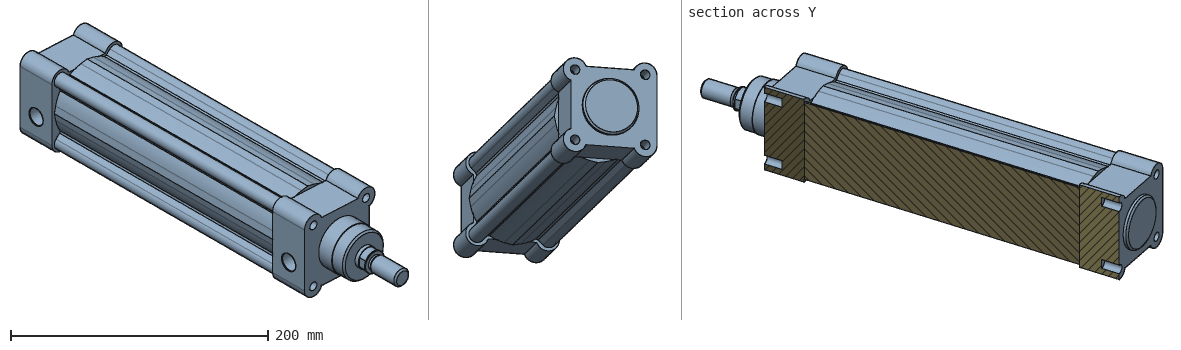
import cadquery as cq
import math


overall_length = 395.5
rear_boss_length = 4.0
cap_length = 36.0
barrel_length = 248.7
front_boss_length = 14.5
collar_length = 13.0

rear_cap_x = rear_boss_length
barrel_x = rear_cap_x + cap_length
front_cap_x = barrel_x + barrel_length
front_boss_x = front_cap_x + cap_length
collar_x = front_boss_x + front_boss_length
rod_x = collar_x + collar_length

cap_width = 75.5
tie_hole_spacing = 56.5
tie_hole_diameter = 7.5
tie_hole_depth = 16.0
plain_side_offset = 31.5
port_diameter = 15.0
port_mouth_diameter = 16.0
port_chamfer_depth = 0.8
port_depth = 12.0
port_z = -10.3
boss_radius = 22.5
rear_boss_chamfer = 1.5
collar_step = 0.6
collar_chamfer = 1.5

port_face_offset = cap_width / 2
tie_hole_offset = tie_hole_spacing / 2
lug_radius = port_face_offset - tie_hole_offset
collar_radius = boss_radius - collar_step

column_offset = 29.0
column_radius = 6.5
side_radius = 34.5
ridge_half_width = 6.7
arc_half_width = 18.5
ledge_half_width = 20.5

rod_radius = 10.0
rod_shoulder_length = 12.0
flats_width = 17.0
flats_start = 3.5
flats_length = 7.0
relief_radius = 9.5
undercut_radius = 6.7
undercut_length = 2.0
thread_radius = 8.0
thread_chamfer = 1.5


def cylinder_along_x(x, radius, length):
    return cq.Workplane("YZ", origin=(x, 0, 0)).circle(radius).extrude(length)


def block_along_x(x, length, y_min, y_max, half_height):
    return (
        cq.Workplane("YZ", origin=(x, 0, 0))
        .center((y_min + y_max) / 2, 0)
        .rect(y_max - y_min, 2 * half_height)
        .extrude(length)
    )


def tie_points(x):
    return (
        cq.Workplane("YZ", origin=(x, 0, 0))
        .rect(tie_hole_spacing, tie_hole_spacing, forConstruction=True)
        .vertices()
    )


def port_cutter(x):
    """Blind hole from the -Y face with a chamfered mouth."""
    mouth = cq.Workplane("XZ", origin=(x, -port_face_offset, port_z))
    hole = mouth.circle(port_diameter / 2).extrude(-port_depth)
    chamfer = (
        mouth.circle(port_mouth_diameter / 2)
        .workplane(offset=-port_chamfer_depth)
        .circle(port_diameter / 2)
        .loft()
    )
    return hole.union(chamfer)


def make_cap_block(x, tie_hole_x):
    """Cap body with round corner lugs, a port in its -Y face and tie holes from tie_hole_x on."""
    core = block_along_x(x, cap_length, -tie_hole_offset, plain_side_offset, plain_side_offset)
    port_side = block_along_x(x, cap_length, -port_face_offset, -tie_hole_offset, tie_hole_offset)
    lugs = tie_points(x).circle(lug_radius).extrude(cap_length)
    tie_holes = tie_points(tie_hole_x).circle(tie_hole_diameter / 2).extrude(tie_hole_depth)
    return core.union(port_side).union(lugs).cut(tie_holes).cut(port_cutter(x + cap_length / 2))


def make_rear_cap():
    boss = cylinder_along_x(0, boss_radius, rear_boss_length)
    boss = boss.faces("<X").chamfer(rear_boss_chamfer)
    return make_cap_block(rear_cap_x, rear_cap_x).union(boss)


def make_front_cap():
    boss = cylinder_along_x(front_boss_x, boss_radius, front_boss_length)
    collar = cylinder_along_x(collar_x, collar_radius, collar_length)
    collar = collar.faces(">X").chamfer(collar_chamfer)
    block = make_cap_block(front_cap_x, front_boss_x - tie_hole_depth)
    return block.union(boss).union(collar)


def on_side(side, across, out):
    """Point of a barrel side: side 0 faces +Z, each next one a quarter turn on, by +Y, -Z and -Y."""
    angle = math.radians(-90 * side)
    y = across * math.cos(angle) - out * math.sin(angle)
    z = across * math.sin(angle) + out * math.cos(angle)
    return y, z


def on_side_arc(half_width):
    return math.sqrt(side_radius**2 - half_width**2)


def make_barrel():
    column_reach = column_radius * math.sqrt(0.5)
    flank_top = (column_offset - column_reach, column_offset + column_reach)
    ledge_out = flank_top[1] - (flank_top[0] - ledge_half_width)

    ridge_foot_out = on_side_arc(ridge_half_width)
    ridge_out = side_radius**2 / ridge_foot_out
    arc_middle = (ridge_half_width + arc_half_width) / 2
    column_outermost = column_offset + column_reach

    profile = cq.Workplane("YZ", origin=(barrel_x, 0, 0)).moveTo(*on_side(0, -flank_top[0], flank_top[1]))
    for side in range(4):
        profile = (
            profile.lineTo(*on_side(side, -ledge_half_width, ledge_out))
            .lineTo(*on_side(side, -arc_half_width, on_side_arc(arc_half_width)))
            .threePointArc(
                on_side(side, -arc_middle, on_side_arc(arc_middle)),
                on_side(side, -ridge_half_width, ridge_foot_out),
            )
            .lineTo(*on_side(side, 0, ridge_out))
            .lineTo(*on_side(side, ridge_half_width, ridge_foot_out))
            .threePointArc(
                on_side(side, arc_middle, on_side_arc(arc_middle)),
                on_side(side, arc_half_width, on_side_arc(arc_half_width)),
            )
            .lineTo(*on_side(side, ledge_half_width, ledge_out))
            .lineTo(*on_side(side, *flank_top))
            .threePointArc(
                on_side(side, column_outermost, column_outermost),
                on_side(side + 1, -flank_top[0], flank_top[1]),
            )
        )
    return profile.close().extrude(barrel_length)


def make_rod():
    undercut_x = rod_x + rod_shoulder_length
    thread_x = undercut_x + undercut_length
    shoulder = cylinder_along_x(rod_x, rod_radius, rod_shoulder_length)
    undercut = cylinder_along_x(undercut_x, undercut_radius, undercut_length)
    thread = cylinder_along_x(thread_x, thread_radius, overall_length - thread_x)
    thread = thread.faces("<X or >X").chamfer(thread_chamfer)
    rod = shoulder.union(undercut).union(thread)

    flats_x = rod_x + flats_start
    round_stock = cylinder_along_x(flats_x, rod_radius, flats_length)
    relieved_stock = cylinder_along_x(flats_x, relief_radius, flats_length)
    rod = rod.cut(round_stock.cut(relieved_stock))

    for direction in (-1, 1):
        beyond_flat = cq.Workplane("XY").box(flats_length, rod_radius, 2 * rod_radius).translate(
            (
                flats_x + flats_length / 2,
                direction * (flats_width + rod_radius) / 2,
                0,
            )
        )
        rod = rod.cut(beyond_flat)
    return rod


rear_cap = make_rear_cap()
barrel = make_barrel()
front_cap = make_front_cap()
rod = make_rod()

result = cq.Compound.makeCompound([rear_cap.val(), barrel.val(), front_cap.val(), rod.val()])